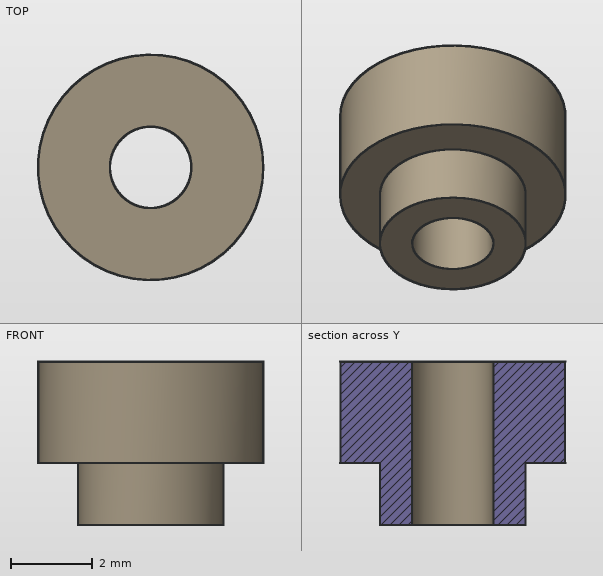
import cadquery as cq

head_diameter = 5.56
neck_diameter = 3.6
bore_diameter = 2.0
total_height = 4.03
neck_height = 1.53
head_height = total_height - neck_height

neck = cq.Workplane("XY").circle(neck_diameter / 2).extrude(neck_height)

head = (
    cq.Workplane("XY")
    .workplane(offset=neck_height)
    .circle(head_diameter / 2)
    .extrude(head_height)
)

bore = cq.Workplane("XY").circle(bore_diameter / 2).extrude(total_height)

result = neck.union(head).cut(bore)